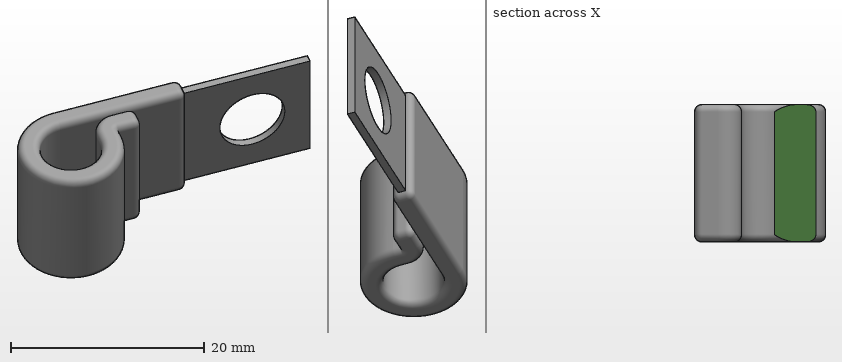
import cadquery as cq
import math

STRAP_THICKNESS = 0.84
STRAP_WIDTH = 12.7
TAB_END_TO_HOLE = 6.35
HOLE_DIAMETER = 7.14

COATING = 0.76
CUSHION_THICKNESS = STRAP_THICKNESS + 2 * COATING
CUSHION_WIDTH = STRAP_WIDTH + 2 * COATING

LOOP_INNER_RADIUS = 3.175
LOOP_OUTER_RADIUS = LOOP_INNER_RADIUS + CUSHION_THICKNESS
LOOP_MID_RADIUS = (LOOP_INNER_RADIUS + LOOP_OUTER_RADIUS) / 2

OVERALL_LENGTH = 33.3
TAB_END_Y = OVERALL_LENGTH - LOOP_OUTER_RADIUS
CUSHION_END_Y = 13.87

HOOK_STRAIGHT = 0.78
HOOK_INNER_RADIUS = 0.01
HOOK_OUTER_RADIUS = HOOK_INNER_RADIUS + CUSHION_THICKNESS
HOOK_LENGTH = 2.5


def make_cushion():
    """Constant-thickness P-shaped band with every outer edge rounded."""
    diagonal = math.sqrt(0.5)
    bend_x = -HOOK_STRAIGHT
    bend_y = LOOP_OUTER_RADIUS + HOOK_INNER_RADIUS
    hook_end_y = bend_y + HOOK_LENGTH

    def on_bend(radius):
        return (bend_x - radius * diagonal, bend_y - radius * diagonal)

    def on_loop(radius):
        return (radius * diagonal, -radius * diagonal)

    outline = (
        cq.Workplane("XY")
        .workplane(offset=-CUSHION_WIDTH / 2)
        .moveTo(-LOOP_OUTER_RADIUS, CUSHION_END_Y)
        .lineTo(-LOOP_OUTER_RADIUS, 0)
        .threePointArc(on_loop(LOOP_OUTER_RADIUS), (0, LOOP_OUTER_RADIUS))
        .lineTo(bend_x, LOOP_OUTER_RADIUS)
        .threePointArc(on_bend(HOOK_INNER_RADIUS), (bend_x - HOOK_INNER_RADIUS, bend_y))
        .lineTo(bend_x - HOOK_INNER_RADIUS, hook_end_y)
        .lineTo(bend_x - HOOK_OUTER_RADIUS, hook_end_y)
        .lineTo(bend_x - HOOK_OUTER_RADIUS, bend_y)
        .threePointArc(on_bend(HOOK_OUTER_RADIUS), (bend_x, LOOP_INNER_RADIUS))
        .lineTo(0, LOOP_INNER_RADIUS)
        .threePointArc(on_loop(LOOP_INNER_RADIUS), (-LOOP_INNER_RADIUS, 0))
        .lineTo(-LOOP_INNER_RADIUS, CUSHION_END_Y)
        .close()
    )
    band = outline.extrude(CUSHION_WIDTH)

    end_faces = band.faces("+Y")
    rims = band.faces("<Z or >Z").edges()
    return band.newObject(end_faces.edges("|Z").vals() + rims.vals()).fillet(COATING)


def make_tab():
    """Bare end of the strap, running down inside the leg of the cushion."""
    tab = (
        cq.Workplane("XY")
        .box(STRAP_THICKNESS, TAB_END_Y, STRAP_WIDTH)
        .translate((-LOOP_MID_RADIUS, TAB_END_Y / 2, 0))
    )
    hole = (
        cq.Workplane("YZ")
        .center(TAB_END_Y - TAB_END_TO_HOLE, 0)
        .circle(HOLE_DIAMETER / 2)
        .extrude(-2 * LOOP_OUTER_RADIUS)
    )
    return tab.cut(hole)


result = make_cushion().union(make_tab())